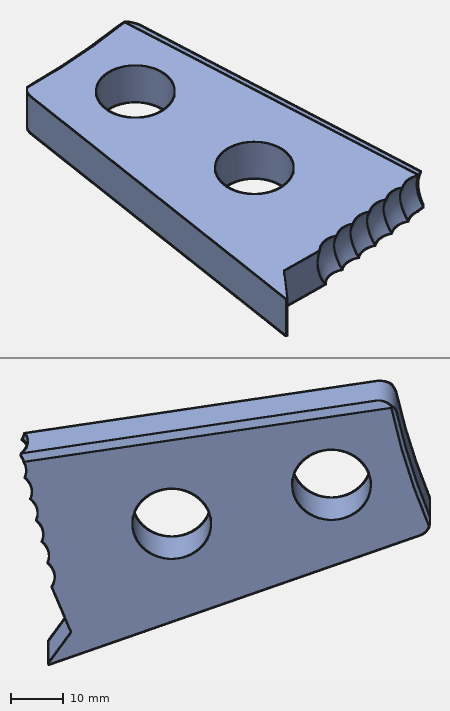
import cadquery as cq
import math

length = 81.87
thickness = 9.49

back_low_x = 2.33
back_radius = 149.0
slope_angle = 12.0
slope_start_y = 29.15
stock_x = 75.0
heel_x = 75.35
heel_y = 5.0
toe_tip_height = 0.35
low_corner_radius = 3.2
high_corner_radius = 3.5

back_chamfer = 0.75
slope_chamfer_width = 1.6
slope_chamfer_height = 0.55

hole_diameter = 15.1
hole_centers = [(17.25, 16.35), (48.85, 19.7)]

groove_count = 7
groove_pitch = 4.72
first_groove_x = 69.2
first_groove_y = 45.4
row_angle = 8.0
groove_drop = groove_pitch / 2
disc_radius = 9.5
rim_radius = 4.6
rim_half_width = 4.2
groove_mid_offset = 0.2

slope_rise = math.tan(math.radians(slope_angle))


def slope_y(x):
    """Height of the upper edge at a given x."""
    return slope_start_y + slope_rise * x


def back_x(y):
    """Position of the hollow back edge, upright where it meets the long edge."""
    return back_low_x - back_radius + math.sqrt(back_radius**2 - y**2)


def make_blank():
    """Sharp-cornered plate with a hollow back edge and a pointed toe."""
    back_top_y = slope_y(0)
    back_mid_y = back_top_y / 2
    return (
        cq.Workplane("XY")
        .moveTo(back_low_x, 0)
        .lineTo(length, 0)
        .lineTo(length, toe_tip_height)
        .lineTo(heel_x, heel_y)
        .lineTo(stock_x, slope_y(stock_x))
        .lineTo(back_x(back_top_y), back_top_y)
        .threePointArc((back_x(back_mid_y), back_mid_y), (back_low_x, 0))
        .close()
        .extrude(thickness)
    )


def make_slope_wedge():
    """Wedge along the upper edge that cuts its chamfer on the top face."""
    lean = math.radians(slope_angle)
    across_slope = cq.Plane(
        origin=(0, slope_start_y, thickness),
        xDir=(-math.sin(lean), math.cos(lean), 0),
        normal=(math.cos(lean), math.sin(lean), 0),
    )
    return (
        cq.Workplane(across_slope)
        .moveTo(-slope_chamfer_width, 0)
        .lineTo(slope_chamfer_width, -2 * slope_chamfer_height)
        .lineTo(slope_chamfer_width, 0)
        .close()
        .extrude(length, both=True)
    )


def make_back_wedge():
    """Conical ring along the hollow back edge that cuts its chamfer on the top face."""
    inner_radius = back_radius - back_chamfer
    outer_radius = back_radius + back_chamfer
    return (
        cq.Workplane("XZ")
        .moveTo(inner_radius, thickness - 2 * back_chamfer)
        .lineTo(outer_radius, thickness)
        .lineTo(inner_radius, thickness)
        .close()
        .revolve(360, (0, 0, 0), (0, 1, 0))
        .translate((back_low_x - back_radius, 0, 0))
    )


def chamfer_faces(plate):
    """Chamfer the upper edge and the back edge on both faces."""
    for wedge in (make_slope_wedge(), make_back_wedge()):
        plate = plate.cut(wedge)
        plate = plate.cut(wedge.mirror("XY", (0, 0, thickness / 2)))
    return plate


def round_back_corners(plate):
    """Round the two upright edges at the back end."""
    low_corner = cq.selectors.NearestToPointSelector((back_low_x, 0, thickness / 2))
    high_corner = cq.selectors.NearestToPointSelector((back_x(slope_y(0)), slope_y(0), thickness / 2))
    plate = plate.edges(low_corner).fillet(low_corner_radius)
    return plate.edges(high_corner).fillet(high_corner_radius)


def make_groove_cutter():
    """Disc with a rounded rim, centred on the origin with its axis along X."""
    rim_drop = rim_radius - math.sqrt(rim_radius**2 - rim_half_width**2)
    groove_depth = rim_radius - math.sqrt(rim_radius**2 - (groove_pitch / 2) ** 2)
    rim_top = disc_radius + groove_depth
    return (
        cq.Workplane("XY")
        .moveTo(-rim_half_width, 0)
        .lineTo(-rim_half_width, rim_top - rim_drop)
        .threePointArc((0, rim_top), (rim_half_width, rim_top - rim_drop))
        .lineTo(rim_half_width, 0)
        .close()
        .revolve(360, (0, 0, 0), (1, 0, 0))
    )


def cut_teeth(plate):
    """Cut the row of curved, slanting grooves that leaves the teeth standing."""
    lean = math.radians(row_angle)
    tilt = math.degrees(math.atan(groove_drop / thickness))
    cutter = make_groove_cutter().rotate((0, 0, 0), (0, 1, 0), tilt)
    cutter = cutter.rotate((0, 0, 0), (0, 0, 1), row_angle - 90)
    mid_z = thickness / 2 + groove_mid_offset
    for i in range(groove_count):
        along = i * groove_pitch
        x = first_groove_x + along * math.sin(lean) + disc_radius * math.cos(lean)
        y = first_groove_y - along * math.cos(lean) + disc_radius * math.sin(lean)
        plate = plate.cut(cutter.translate((x, y, mid_z)))
    return plate


def drill_holes(plate):
    """Cut the two through holes."""
    holes = cq.Workplane("XY").pushPoints(hole_centers).circle(hole_diameter / 2).extrude(thickness)
    return plate.cut(holes)


body = chamfer_faces(round_back_corners(make_blank()))
result = drill_holes(cut_teeth(body))